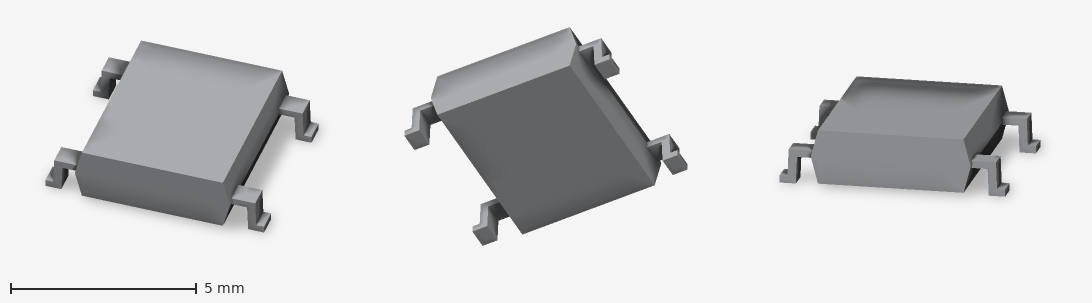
import cadquery as cq

SPAN_X = 6.2
BODY_LENGTH_Y = 5.0
TOTAL_HEIGHT = 1.6

STANDOFF = 0.1
BODY_WAIST_X = 4.4
BODY_FACE_X = 4.0
BODY_MID_Z = (STANDOFF + TOTAL_HEIGHT) / 2

LEAD_THICKNESS = 0.2
LEAD_WIDTH = 0.6
LEAD_PITCH_Y = 4.0
FOOT_LEDGE = 0.22
LEG_THICKNESS = 0.23
LEG_LEAN = 0.03
LEAD_EMBED = 0.4


def make_body():
    """Body section in XZ, extruded along Y and centred on the origin."""
    half_waist = BODY_WAIST_X / 2
    half_face = BODY_FACE_X / 2
    outline = [
        (-half_face, STANDOFF),
        (half_face, STANDOFF),
        (half_waist, BODY_MID_Z),
        (half_face, TOTAL_HEIGHT),
        (-half_face, TOTAL_HEIGHT),
        (-half_waist, BODY_MID_Z),
    ]
    return cq.Workplane("XZ").polyline(outline).close().extrude(BODY_LENGTH_Y / 2, both=True)


def make_lead(y_center):
    """Lead on the -X side: foot, slightly leaning leg and horizontal shoulder."""
    toe_x = -SPAN_X / 2
    leg_foot_x = toe_x + FOOT_LEDGE
    leg_top_x = leg_foot_x + LEG_LEAN
    buried_end_x = -BODY_WAIST_X / 2 + LEAD_EMBED
    shoulder_top = BODY_MID_Z + LEAD_THICKNESS / 2
    shoulder_bottom = BODY_MID_Z - LEAD_THICKNESS / 2
    outline = [
        (toe_x, 0),
        (leg_foot_x + LEG_THICKNESS, 0),
        (leg_top_x + LEG_THICKNESS, shoulder_bottom),
        (buried_end_x, shoulder_bottom),
        (buried_end_x, shoulder_top),
        (leg_top_x, shoulder_top),
        (leg_foot_x, LEAD_THICKNESS),
        (toe_x, LEAD_THICKNESS),
    ]
    lead = cq.Workplane("XZ").polyline(outline).close().extrude(LEAD_WIDTH / 2, both=True)
    return lead.translate((0, y_center, 0))


result = make_body()
for y_center in (-LEAD_PITCH_Y / 2, LEAD_PITCH_Y / 2):
    lead = make_lead(y_center)
    result = result.union(lead).union(lead.mirror("YZ"))